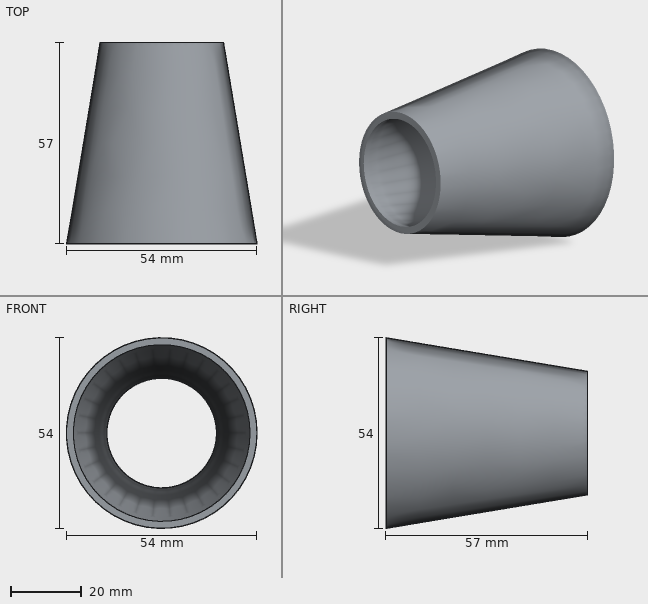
import cadquery as cq

LENGTH = 57.0
WIDE_DIAMETER = 54.0
NARROW_DIAMETER = 35.0
WALL = 2.0


def reducer_wall():
    """Revolve the wall's cross-section around the Y axis."""
    wide_radius = WIDE_DIAMETER / 2
    narrow_radius = NARROW_DIAMETER / 2
    section = [
        (wide_radius - WALL, 0),
        (wide_radius, 0),
        (narrow_radius, LENGTH),
        (narrow_radius - WALL, LENGTH),
    ]
    return cq.Workplane("XY").polyline(section).close().revolve(360, (0, 0, 0), (0, 1, 0))


result = reducer_wall()